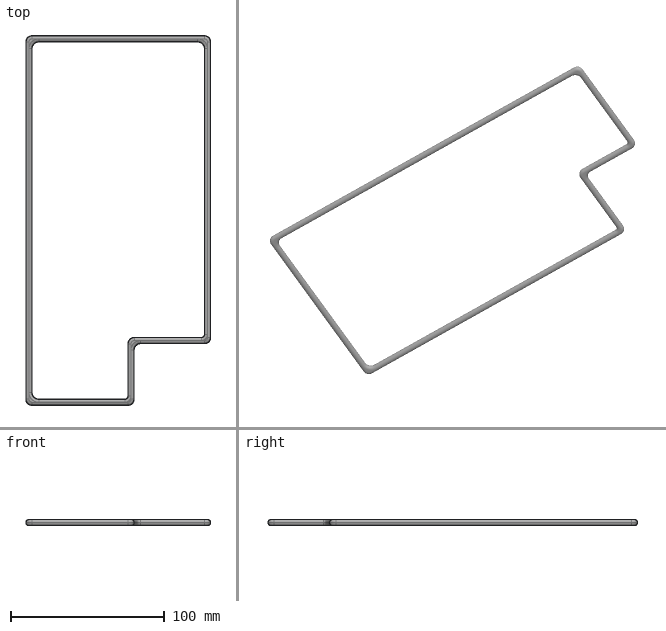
import cadquery as cq

length = 240.5
width = 120.3
cord = 4.0
rounding_clearance = 0.02
edge_rounding = cord / 2 - rounding_clearance

step_x = 70.5
step_y = 40.2

outer_radius = 4.0
inner_radius = 4.3
small_inner_radius = 2.0


def stepped_plate(inset, radii):
    """Stepped outline moved inward by inset, corners rounded in order from (-X, -Y)."""
    left = -width / 2 + inset
    right = width / 2 - inset
    front = -length / 2 + inset
    back = length / 2 - inset
    notch_x = -width / 2 + step_x - inset
    notch_y = -length / 2 + step_y + inset
    corners = [
        (left, front),
        (notch_x, front),
        (notch_x, notch_y),
        (right, notch_y),
        (right, back),
        (left, back),
    ]
    plate = cq.Workplane("XY").workplane(offset=-cord / 2).polyline(corners).close().extrude(cord)
    for (x, y), radius in zip(corners, radii):
        plate = plate.edges(cq.selectors.NearestToPointSelector((x, y, 0))).fillet(radius)
    return plate


outer_radii = [outer_radius] * 6
inner_radii = [
    inner_radius,
    small_inner_radius,
    inner_radius,
    small_inner_radius,
    inner_radius,
    inner_radius,
]
loop = stepped_plate(0, outer_radii).cut(stepped_plate(cord, inner_radii))

result = loop.faces("|Z").edges().fillet(edge_rounding)